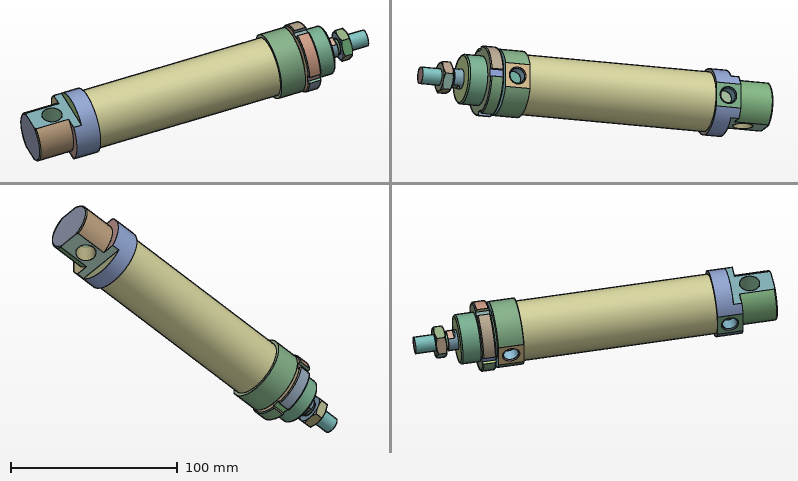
import cadquery as cq
import math


lug_front = 22.0
rear_step = 27.0
rear_cap_front = 37.5
cap_length = rear_cap_front - lug_front
front_cap_front = 171.3
front_cap_rear = front_cap_front - cap_length
nose_front = 193.2
rod_shoulder = 199.0
rod_tip = 219.0

cap_dia = 40.0
tube_dia = 36.1
nose_dia = 30.0
nose_chamfer = 0.9
lug_dia = nose_dia
lug_chamfer = 0.7
lug_thickness = 26.0
pivot_dia = 12.0
pivot_y = 14.2

port_flat_x = -18.6
port_dia = 9.2
port_mouth_dia = 10.5
port_depth = 7.9
port_offset = 7.9

ring_dia = 42.0
ring_width = 8.3
ring_rear = 173.0
ring_chamfer = 0.7
slot_count = 4
slot_width = 4.8
slot_depth = 2.2

rod_dia = 12.0
rod_flat_width = 10.0
flat_length = 3.7
thread_dia = 10.0
relief_dia = 9.0

nut_flat_width = 17.0
nut_thickness = 6.1
nut_rear = 200.8
nut_chamfer_angle = 30


def cylinder(dia, start, end):
    """Solid cylinder on the Y axis from one station to another."""
    return cq.Workplane("XZ", origin=(0, start, 0)).circle(dia / 2).extrude(start - end)


def slab(thickness, start, end):
    """Block centred on the axis, wide in X and limited to a thickness in Z."""
    block = cq.Workplane("XY").box(cap_dia, end - start, thickness)
    return block.translate((0, (start + end) / 2, 0))


def make_cap(start, end):
    """Round cap with a flat on its -X side for the air port."""
    kept = cq.Workplane("XY").box(cap_dia, end - start, cap_dia)
    kept = kept.translate((port_flat_x + cap_dia / 2, (start + end) / 2, 0))
    return cylinder(cap_dia, start, end).intersect(kept)


def make_port(y):
    """Blind port with a 45 degree chamfered mouth."""
    mouth_depth = (port_mouth_dia - port_dia) / 2
    profile = [
        (port_flat_x, 0),
        (port_flat_x, port_mouth_dia / 2),
        (port_flat_x + mouth_depth, port_dia / 2),
        (port_flat_x + port_depth, port_dia / 2),
        (port_flat_x + port_depth, 0),
    ]
    port = cq.Workplane("XY").polyline(profile).close().revolve(360, (0, 0), (1, 0))
    return port.translate((0, y, 0))


def make_housing():
    lug = cylinder(lug_dia, 0, lug_front).faces("<Y").chamfer(lug_chamfer)
    rear_cap = make_cap(lug_front, rear_cap_front)
    rear = lug.union(rear_cap)
    flattened = rear.intersect(slab(lug_thickness, 0, rear_step))
    rear = rear.intersect(slab(cap_dia, rear_step, rear_cap_front)).union(flattened)

    tube = cylinder(tube_dia, rear_cap_front, front_cap_rear)
    front_cap = make_cap(front_cap_rear, front_cap_front)
    nose = cylinder(nose_dia, front_cap_front, nose_front).faces(">Y").chamfer(nose_chamfer)
    housing = rear.union(tube).union(front_cap).union(nose)

    pivot_hole = cq.Workplane("XY").center(0, pivot_y).circle(pivot_dia / 2).extrude(cap_dia, both=True)
    housing = housing.cut(pivot_hole)
    for cap_rear in (lug_front, front_cap_rear):
        housing = housing.cut(make_port(cap_rear + port_offset))
    return housing


def make_ring_nut():
    ring_front = ring_rear + ring_width
    ring = cylinder(ring_dia, ring_rear, ring_front).edges().chamfer(ring_chamfer)
    ring = ring.cut(cylinder(nose_dia, ring_rear, ring_front))
    slot = cq.Workplane("XY").box(2 * slot_depth, 2 * ring_width, slot_width)
    slot = slot.translate((ring_dia / 2, ring_rear + ring_width / 2, 0))
    for i in range(slot_count):
        ring = ring.cut(slot.rotate((0, 0, 0), (0, 1, 0), i * 360 / slot_count))
    return ring


def make_piston_rod():
    """Rod with two wrench flats that run out at 45 degrees, a relief groove and a threaded end."""
    runout = (rod_dia - rod_flat_width) / 2
    flat_end = rod_shoulder - flat_length
    half_outline = [
        (nose_front, rod_dia / 2),
        (flat_end - runout, rod_dia / 2),
        (flat_end, rod_flat_width / 2),
        (rod_shoulder, rod_flat_width / 2),
    ]
    mirrored = [(y, -z) for y, z in reversed(half_outline)]
    flats = cq.Workplane("YZ").polyline(half_outline + mirrored).close().extrude(rod_dia, both=True)
    rod = cylinder(rod_dia, nose_front, rod_shoulder).intersect(flats)
    relief = cylinder(relief_dia, rod_shoulder, nut_rear)
    thread = cylinder(thread_dia, nut_rear, rod_tip)
    return rod.union(relief).union(thread)


def make_hex_nut():
    """Hex nut with two corners on the X axis, its corners turned down on both faces."""
    nut_front = nut_rear + nut_thickness
    corner_dia = nut_flat_width / math.cos(math.pi / 6)
    nut = cq.Workplane("XZ", origin=(0, nut_rear, 0)).polygon(6, corner_dia).extrude(-nut_thickness)
    turned_off = (corner_dia - nut_flat_width) / 2
    turned_length = turned_off * math.tan(math.radians(nut_chamfer_angle))
    blank = cylinder(corner_dia, nut_rear, nut_front)
    blank = blank.faces("<Y").chamfer(turned_length, turned_off).faces(">Y").chamfer(turned_length, turned_off)
    return nut.intersect(blank).cut(cylinder(thread_dia, nut_rear, nut_front))


housing = make_housing()
ring_nut = make_ring_nut()
piston_rod = make_piston_rod()
hex_nut = make_hex_nut()

result = cq.Compound.makeCompound([housing.val(), ring_nut.val(), piston_rod.val(), hex_nut.val()])